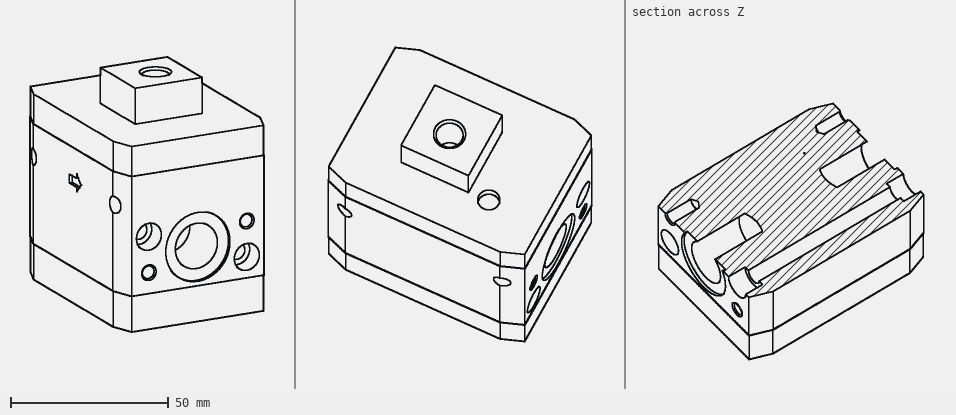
import cadquery as cq
import math

total_height = 74.0
body_length = 70.0
body_width = 53.0

base_top = 12.0
cover_bottom = 52.0
cover_top = 62.0
plate_inset = 0.15
corner_length = 7.55
corner_angle = 20.0

boss_side = 24.0
boss_x = 2.95
boss_hole_y = 1.5
boss_hole_diameter = 8.6
boss_hole_mouth = 10.2
boss_hole_depth = 14.8

recess_x = -16.0
recess_y = 11.5
recess_diameter = 7.0
recess_depth = 2.95

port_z = 25.0
port_diameter = 15.1
port_depth = 20.0
port_face_diameter = 23.0
port_face_depth = 1.0

side_hole_y = 17.55
side_hole_rise = 6.0
bolt_diameter = 5.5
bolt_head_diameter = 8.95
bolt_head_depth = 6.65
tapped_diameter = 4.2
tapped_mouth = 5.2
tapped_depth = 10.0

cross_hole_x = 28.0
cross_hole_z = 41.0
cross_hole_diameter = 5.5

arrow_tail_x = -2.5
arrow_neck_x = 2.5
arrow_tip_x = 5.5
arrow_shaft_width = 2.95
arrow_head_width = 5.9
arrow_depth = 1.0

drill_tip_angle = 118.0


def chamfered_block(bottom, top, inset=0):
    """Block with four shallow-angle corners; every side face is moved inward by the inset."""
    half_length = body_length / 2 - inset
    half_width = body_width / 2 - inset
    angle = math.radians(corner_angle)
    long_face_end = body_length / 2 - corner_length - inset * math.tan(angle / 2)
    end_face_end = half_width - (half_length - long_face_end) * math.tan(angle)
    outline = [
        (half_length, end_face_end),
        (long_face_end, half_width),
        (-long_face_end, half_width),
        (-half_length, end_face_end),
        (-half_length, -end_face_end),
        (-long_face_end, -half_width),
        (long_face_end, -half_width),
        (half_length, -end_face_end),
    ]
    return cq.Workplane("XY").workplane(offset=bottom).polyline(outline).close().extrude(top - bottom)


def drill(start, direction, diameter, depth, mouth=None):
    """Blind drilled hole with a conical tip, and a 45 degree countersink out to the mouth diameter."""
    radius = diameter / 2
    mouth_radius = (mouth or diameter) / 2
    tip = radius / math.tan(math.radians(drill_tip_angle / 2))
    profile = [(0, 0), (mouth_radius, 0)]
    if mouth_radius > radius:
        profile.append((radius, mouth_radius - radius))
    profile += [(radius, depth), (0, depth + tip)]
    across = cq.Vector(0, 1, 0)
    plane = cq.Plane(origin=start, xDir=across, normal=across.cross(cq.Vector(*direction)))
    return cq.Workplane(plane).polyline(profile).close().revolve(360, (0, 0), (0, 1))


def cylinder(start, direction, diameter, length):
    return cq.Workplane(cq.Solid.makeCylinder(diameter / 2, length, cq.Vector(*start), cq.Vector(*direction)))


def add_cover_features(body):
    boss = cq.Workplane("XY").box(boss_side, boss_side, total_height - cover_top, centered=(True, True, False))
    body = body.union(boss.translate((boss_x, 0, cover_top)))
    down = (0, 0, -1)
    body = body.cut(
        drill((boss_x, boss_hole_y, total_height), down, boss_hole_diameter, boss_hole_depth, boss_hole_mouth)
    )
    return body.cut(cylinder((recess_x, recess_y, cover_top), down, recess_diameter, recess_depth))


def cut_end_face(body, side):
    """Port, bolt head recesses and tapped holes of the end face at side -1 or +1 along X."""
    face_x = side * body_length / 2
    inward = (-side, 0, 0)
    centre = (face_x, 0, port_z)
    body = body.cut(cylinder(centre, inward, port_face_diameter, port_face_depth))
    body = body.cut(drill(centre, inward, port_diameter, port_depth))
    for y_sign in (-1, 1):
        y = y_sign * side_hole_y
        bolt = (face_x, y, port_z - y_sign * side_hole_rise)
        tapped = (face_x, y, port_z + y_sign * side_hole_rise)
        body = body.cut(cylinder(bolt, inward, bolt_head_diameter, bolt_head_depth))
        body = body.cut(cylinder(bolt, inward, bolt_diameter, body_length))
        body = body.cut(drill(tapped, inward, tapped_diameter, tapped_depth, tapped_mouth))
    return body


def cut_cross_holes(body):
    for x in (-cross_hole_x, cross_hole_x):
        start = (x, -body_width / 2, cross_hole_z)
        body = body.cut(cylinder(start, (0, 1, 0), cross_hole_diameter, body_width))
    return body


def cut_flow_arrow(body):
    half_shaft = arrow_shaft_width / 2
    half_head = arrow_head_width / 2
    outline = [
        (arrow_tail_x, -half_shaft),
        (arrow_neck_x, -half_shaft),
        (arrow_neck_x, -half_head),
        (arrow_tip_x, 0),
        (arrow_neck_x, half_head),
        (arrow_neck_x, half_shaft),
        (arrow_tail_x, half_shaft),
    ]
    front_face = cq.Workplane("XZ", origin=(0, -body_width / 2, cross_hole_z))
    return body.cut(front_face.polyline(outline).close().extrude(-arrow_depth))


result = chamfered_block(base_top, cover_bottom)
result = result.union(chamfered_block(0, base_top, plate_inset))
result = result.union(chamfered_block(cover_bottom, cover_top, plate_inset))
result = add_cover_features(result)
for end in (-1, 1):
    result = cut_end_face(result, end)
result = cut_cross_holes(result)
result = cut_flow_arrow(result)